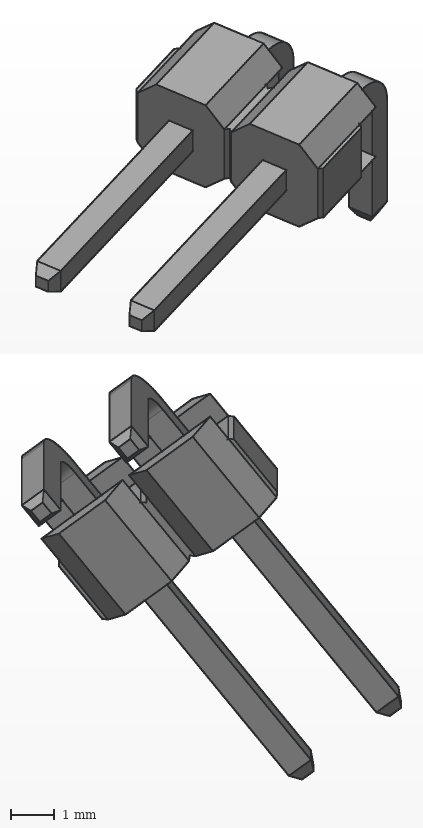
import cadquery as cq


pin_count = 2
total_width = 5.08
total_length = 10.35
total_height = 5.54

housing_depth = 2.5
bevel = 0.51
corner_cut = 0.09
rear_recess = 0.68
rear_overhang = 1.85

pin_size = 0.64
bend_radius = 0.85
tip_length = 0.3
tip_size = 0.34

pitch = total_width / pin_count
leg_back_y = total_length / 2
tip_front_y = -total_length / 2
housing_rear_y = leg_back_y - rear_overhang
housing_front_y = housing_rear_y - housing_depth
band_depth = housing_depth - rear_recess
band_height = pitch - 2 * bevel
octagon_width = pitch - 2 * corner_cut
leg_y = leg_back_y - pin_size / 2
leg_bottom_z = pitch / 2 - total_height
way_centres = [(i - (pin_count - 1) / 2) * pitch for i in range(pin_count)]


def box_from_front(width, depth, height, x, front_y):
    """Box centred on X = x and Z = 0, reaching back from front_y."""
    return cq.Workplane("XY").box(width, depth, height).translate((x, front_y + depth / 2, 0))


def make_way(x):
    """One way of the housing: an octagonal prism on a wider middle band, recessed at the rear."""
    octagon = box_from_front(octagon_width, housing_depth, pitch, x, housing_front_y)
    octagon = octagon.edges("|Y").chamfer(bevel)
    recess = box_from_front(pitch, rear_recess, band_height, x, housing_front_y + band_depth)
    band = box_from_front(pitch, band_depth, band_height, x, housing_front_y)
    band = band.edges("|Z").chamfer(corner_cut)
    return octagon.cut(recess).union(band)


def make_tip():
    """Tapered square pin end, growing along +Z from its base at the origin."""
    return (
        cq.Workplane("XY")
        .rect(pin_size, pin_size)
        .workplane(offset=tip_length)
        .rect(tip_size, tip_size)
        .loft(ruled=True)
    )


def make_pin(x):
    """Square pin swept along its bent centreline, with a tapered tip at each end."""
    start_y = tip_front_y + tip_length
    end_z = leg_bottom_z + tip_length
    bend_start_y = leg_y - bend_radius
    path = (
        cq.Workplane("YZ")
        .moveTo(start_y, 0)
        .lineTo(bend_start_y, 0)
        .tangentArcPoint((leg_y, -bend_radius), relative=False)
        .lineTo(leg_y, end_z)
    )
    shaft = cq.Workplane("XZ", origin=(0, start_y, 0)).rect(pin_size, pin_size).sweep(path)
    front_tip = make_tip().rotate((0, 0, 0), (1, 0, 0), 90).translate((0, start_y, 0))
    leg_tip = make_tip().rotate((0, 0, 0), (1, 0, 0), 180).translate((0, leg_y, end_z))
    return shaft.union(front_tip).union(leg_tip).translate((x, 0, 0))


def make_housing():
    """All ways joined side by side, with a square through hole for each pin."""
    body = make_way(way_centres[0])
    for x in way_centres[1:]:
        body = body.union(make_way(x))
    for x in way_centres:
        body = body.cut(box_from_front(pin_size, housing_depth, pin_size, x, housing_front_y))
    return body


housing = make_housing()
pins = [make_pin(x) for x in way_centres]

result = cq.Compound.makeCompound([housing.solids().val(), *[pin.solids().val() for pin in pins]])